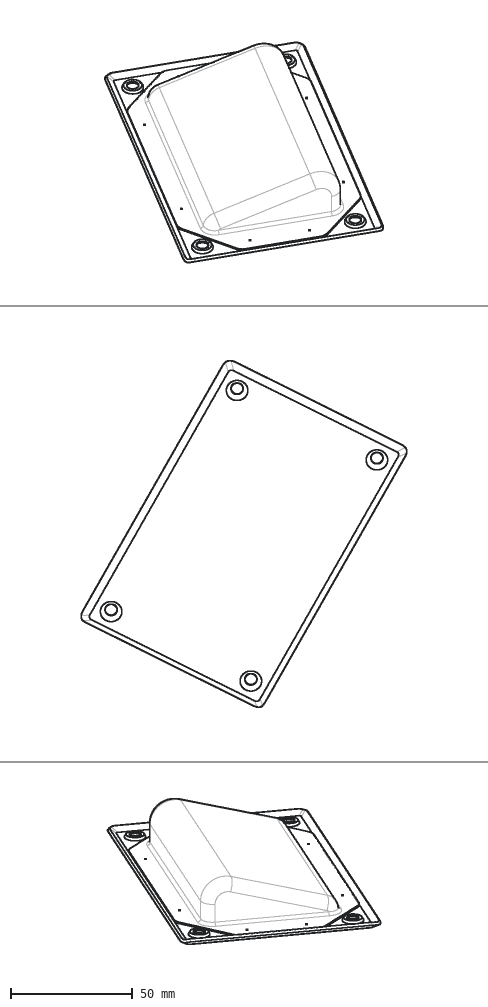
import cadquery as cq
import math

PAN_LENGTH = 130.0
PAN_WIDTH = 85.0
RIM_CORNER_RADIUS = 3.9
PAN_THICKNESS = 1.3
FLARE_RUN = 3.0
FLARE_ANGLE = math.radians(38)
FLARE_INNER_RADIUS = 1.4
FLARE_OUTER_RADIUS = FLARE_INNER_RADIUS + PAN_THICKNESS

BOSS_SPACING_X = 110.1
BOSS_SPACING_Y = 65.0
BOSS_BASE_RADIUS = 4.4
BOSS_TOP_RADIUS = 3.8
BOSS_HEIGHT = 1.2
BOSS_WALL = 0.6
SCREW_HOLE_RADIUS = 2.5

FLANGE_THICKNESS = 0.6
FLANGE_CHAMFER = 21.0
FLANGE_CORNER_RADIUS = 5.0
DOME_LENGTH = 96.4
DOME_WIDTH = 58.2
DOME_TOP = 21.2
DOME_SLOPE = math.radians(16.7)
DOME_BACK_RADIUS = 10.0
DOME_NOSE_RADIUS = 6.5
DOME_SIDE_RADIUS = 5.0
DOME_BASE_FILLET = 1.3

PIN_HOLE_DIAMETER = 0.6
LONG_SIDE_HOLES = (58.0, 68.9)
SHORT_SIDE_HOLES = (112.8, 25.2)

FLARE_RISE = FLARE_RUN * math.tan(FLARE_ANGLE)
RIM_EDGE_RUN = PAN_THICKNESS * math.sin(FLARE_ANGLE)
RIM_TOP = FLARE_RISE + PAN_THICKNESS * math.cos(FLARE_ANGLE)
FLOOR_INSET = FLARE_RUN + PAN_THICKNESS * math.tan(FLARE_ANGLE / 2)
FLOOR_LENGTH = PAN_LENGTH - 2 * FLOOR_INSET
FLOOR_WIDTH = PAN_WIDTH - 2 * FLOOR_INSET


def flared_block(z_low, inset_low, corner_radius):
    """Block whose sides widen upward at the flare angle to the rim top, with rounded corners."""
    inset_high = inset_low - (RIM_TOP - z_low) / math.tan(FLARE_ANGLE)
    return (
        cq.Workplane("XY", origin=(0, 0, z_low))
        .rect(PAN_LENGTH - 2 * inset_low, PAN_WIDTH - 2 * inset_low)
        .workplane(offset=RIM_TOP - z_low)
        .rect(PAN_LENGTH - 2 * inset_high, PAN_WIDTH - 2 * inset_high)
        .loft(ruled=True)
        .edges("not(|X or |Y)")
        .fillet(corner_radius)
    )


def rim_outline(inset):
    """Rounded rectangle set in from the widest outline of the pan."""
    return (
        cq.Sketch()
        .rect(PAN_LENGTH - 2 * inset, PAN_WIDTH - 2 * inset)
        .vertices()
        .fillet(RIM_CORNER_RADIUS - inset)
    )


def make_rim_envelope():
    """Block narrowing upward, whose sides trim the flared sheet to a square rim edge."""
    base_inset = -FLARE_RISE * math.tan(FLARE_ANGLE)
    top_offset = cq.Location(cq.Vector(0, 0, RIM_TOP))
    return (
        cq.Workplane("XY")
        .placeSketch(rim_outline(base_inset), rim_outline(RIM_EDGE_RUN).moved(top_offset))
        .loft(ruled=True)
    )


def boss_cones(base_z, base_radius, top_radius, height):
    """One upright cone frustum at each screw position."""
    taper = math.degrees(math.atan2(base_radius - top_radius, height))
    return (
        cq.Workplane("XY", origin=(0, 0, base_z))
        .rarray(BOSS_SPACING_X, BOSS_SPACING_Y, 2, 2)
        .circle(base_radius)
        .extrude(height, taper=taper)
    )


def make_pan():
    outside = flared_block(0, FLARE_RUN, FLARE_OUTER_RADIUS)
    cavity = flared_block(PAN_THICKNESS, FLOOR_INSET, FLARE_INNER_RADIUS)
    pan = outside.cut(cavity).intersect(make_rim_envelope())

    boss_top = PAN_THICKNESS + BOSS_HEIGHT
    bosses = boss_cones(PAN_THICKNESS, BOSS_BASE_RADIUS, BOSS_TOP_RADIUS, BOSS_HEIGHT)
    hollows = boss_cones(0, BOSS_BASE_RADIUS, SCREW_HOLE_RADIUS, boss_top - BOSS_WALL)
    screw_holes = boss_cones(0, SCREW_HOLE_RADIUS, SCREW_HOLE_RADIUS, boss_top)
    return pan.union(bosses).cut(hollows).cut(screw_holes)


def make_flange():
    """Octagon that spans the pan floor and leaves its four corners free."""
    return (
        cq.Workplane("XY", origin=(0, 0, PAN_THICKNESS))
        .rect(FLOOR_LENGTH, FLOOR_WIDTH)
        .extrude(FLANGE_THICKNESS)
        .edges("|Z")
        .chamfer(FLANGE_CHAMFER)
        .edges("|Z")
        .fillet(FLANGE_CORNER_RADIUS)
    )


def make_dome():
    """Wedge that is high at +Y and slopes down to a rounded nose at -Y."""
    slope_sin = math.sin(DOME_SLOPE)
    slope_cos = math.cos(DOME_SLOPE)
    back_y = DOME_WIDTH / 2
    nose_y = -DOME_WIDTH / 2

    back_centre_y = back_y - DOME_BACK_RADIUS
    back_centre_z = DOME_TOP - DOME_BACK_RADIUS
    nose_centre_y = nose_y + DOME_NOSE_RADIUS
    nose_centre_z = (
        back_centre_z
        + (DOME_BACK_RADIUS - DOME_NOSE_RADIUS) / slope_cos
        - (back_centre_y - nose_centre_y) * slope_sin / slope_cos
    )

    def slope_point(centre_y, centre_z, radius):
        return (centre_y - radius * slope_sin, centre_z + radius * slope_cos)

    def outer_mid_point(centre_y, centre_z, radius, angle):
        return (centre_y + radius * math.cos(angle), centre_z + radius * math.sin(angle))

    square = math.pi / 2
    back_mid_angle = (square + DOME_SLOPE) / 2
    nose_mid_angle = (square + DOME_SLOPE + math.pi) / 2

    profile = (
        cq.Workplane("YZ", origin=(-DOME_LENGTH / 2, 0, 0))
        .moveTo(nose_y, PAN_THICKNESS)
        .lineTo(back_y, PAN_THICKNESS)
        .lineTo(back_y, back_centre_z)
        .threePointArc(
            outer_mid_point(back_centre_y, back_centre_z, DOME_BACK_RADIUS, back_mid_angle),
            slope_point(back_centre_y, back_centre_z, DOME_BACK_RADIUS),
        )
        .lineTo(*slope_point(nose_centre_y, nose_centre_z, DOME_NOSE_RADIUS))
        .threePointArc(
            outer_mid_point(nose_centre_y, nose_centre_z, DOME_NOSE_RADIUS, nose_mid_angle),
            (nose_y, nose_centre_z),
        )
        .close()
    )
    side_outline = cq.selectors.SubtractSelector(
        cq.selectors.StringSyntaxSelector("#X"),
        cq.selectors.StringSyntaxSelector("<Z"),
    )
    return profile.extrude(DOME_LENGTH).edges(side_outline).fillet(DOME_SIDE_RADIUS)


def make_cover():
    flange_top = PAN_THICKNESS + FLANGE_THICKNESS
    foot_x = DOME_LENGTH / 2 + DOME_BASE_FILLET
    foot_y = DOME_WIDTH / 2 + DOME_BASE_FILLET
    foot = cq.selectors.BoxSelector(
        (-foot_x, -foot_y, PAN_THICKNESS),
        (foot_x, foot_y, flange_top + FLANGE_THICKNESS),
    )
    cover = make_flange().union(make_dome()).edges(foot).fillet(DOME_BASE_FILLET)

    for spacing_x, spacing_y in (LONG_SIDE_HOLES, SHORT_SIDE_HOLES):
        holes = (
            cq.Workplane("XY", origin=(0, 0, PAN_THICKNESS))
            .rarray(spacing_x, spacing_y, 2, 2)
            .circle(PIN_HOLE_DIAMETER / 2)
            .extrude(FLANGE_THICKNESS)
        )
        cover = cover.cut(holes)
    return cover


pan = make_pan()
cover = make_cover()

result = cq.Compound.makeCompound([pan.val(), cover.val()])